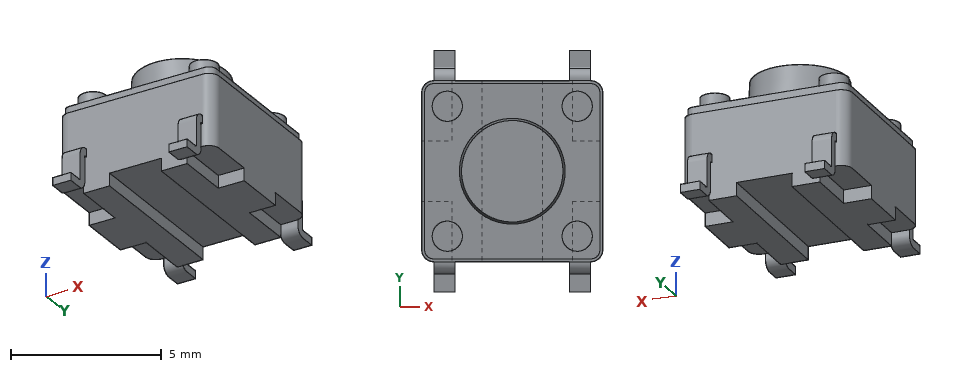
import cadquery as cq

body_width = 6.0
body_top = 3.2
corner_radius = 0.4
foot_height = 0.48
lid_inset = 0.1
lid_top = 3.5

channel_width = 2.0
corner_notch_x = 1.0
corner_notch_y = 2.0

button_top = 5.0
button_base_diameter = 3.5
button_top_diameter = 3.36
post_top = 4.0
post_diameter = 1.0
post_offset = 2.15

lead_span = 8.0
lead_width = 0.7
lead_thickness = 0.3
lead_top = 1.64
lead_reach = 0.4
bend_inner_radius = 0.05
bend_outer_radius = 0.34
lead_embed = 0.08

half_body = body_width / 2
lead_center_x = half_body - corner_radius - lead_width / 2


def make_housing():
    """Rounded square housing, with a through channel and corner notches underneath."""
    housing = (
        cq.Workplane("XY")
        .rect(body_width, body_width)
        .extrude(body_top)
        .edges("|Z")
        .fillet(corner_radius)
    )
    channel = cq.Workplane("XY").rect(channel_width, body_width).extrude(foot_height)
    notch_center_x = half_body - corner_notch_x / 2
    notch_center_y = half_body - corner_notch_y / 2
    notches = (
        cq.Workplane("XY")
        .rect(2 * notch_center_x, 2 * notch_center_y, forConstruction=True)
        .vertices()
        .rect(corner_notch_x, corner_notch_y)
        .extrude(foot_height)
    )
    return housing.cut(channel).cut(notches)


def make_lid():
    lid_width = body_width - 2 * lid_inset
    return (
        cq.Workplane("XY", origin=(0, 0, body_top))
        .rect(lid_width, lid_width)
        .extrude(lid_top - body_top)
        .edges("|Z")
        .fillet(corner_radius - lid_inset)
    )


def make_button():
    """Slightly tapered round button."""
    return (
        cq.Workplane("XY", origin=(0, 0, lid_top))
        .circle(button_base_diameter / 2)
        .workplane(offset=button_top - lid_top)
        .circle(button_top_diameter / 2)
        .loft(ruled=True)
    )


def make_posts():
    return (
        cq.Workplane("XY", origin=(0, 0, lid_top))
        .rect(2 * post_offset, 2 * post_offset, forConstruction=True)
        .vertices()
        .circle(post_diameter / 2)
        .extrude(post_top - lid_top)
    )


def make_lead(center_x):
    """Gull-wing lead on the +Y side: out of the housing, down, then out again."""
    root = half_body - lead_embed
    outer_face = half_body + lead_reach
    inner_face = outer_face - lead_thickness
    tip = lead_span / 2
    profile = (
        cq.Workplane("YZ", origin=(center_x - lead_width / 2, 0, 0))
        .moveTo(root, lead_top)
        .lineTo(outer_face - bend_outer_radius, lead_top)
        .radiusArc((outer_face, lead_top - bend_outer_radius), bend_outer_radius)
        .lineTo(outer_face, lead_thickness + bend_inner_radius)
        .radiusArc((outer_face + bend_inner_radius, lead_thickness), -bend_inner_radius)
        .lineTo(tip, lead_thickness)
        .lineTo(tip, 0)
        .lineTo(inner_face + bend_outer_radius, 0)
        .radiusArc((inner_face, bend_outer_radius), bend_outer_radius)
        .lineTo(inner_face, lead_top - lead_thickness - bend_inner_radius)
        .radiusArc((inner_face - bend_inner_radius, lead_top - lead_thickness), -bend_inner_radius)
        .lineTo(root, lead_top - lead_thickness)
        .close()
    )
    return profile.extrude(lead_width)


result = make_housing().union(make_lid()).union(make_button()).union(make_posts())
for center_x in (-lead_center_x, lead_center_x):
    lead = make_lead(center_x)
    result = result.union(lead).union(lead.mirror("XZ"))